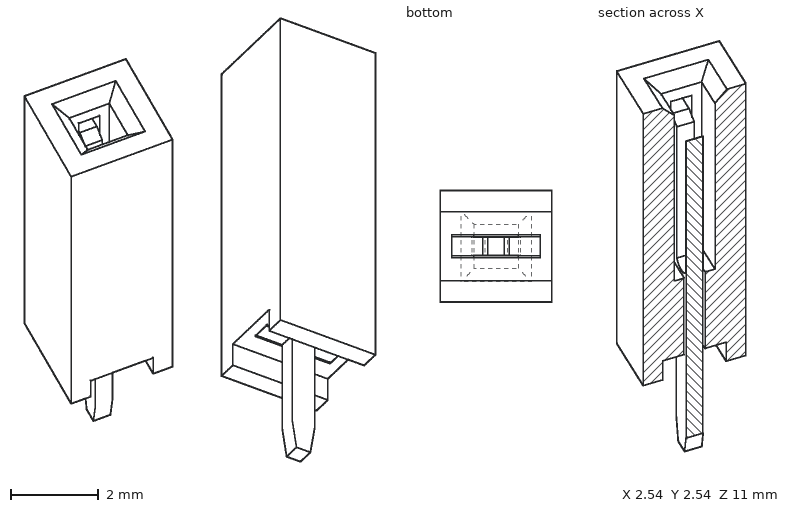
import cadquery as cq

total_height = 11.01
housing_height = 8.5
housing_width = 2.54
housing_bottom = total_height - housing_height

channel_width = 1.56
channel_height = 0.6
channel_roof = housing_bottom + channel_height

mouth_width = 1.6
socket_width = 1.0
mouth_depth = 0.33
socket_depth = 5.5

contact_thickness = 0.43
slot_clearance = 0.04
slot_thickness = contact_thickness + 2 * slot_clearance
slot_drop = 0.33
slot_top = total_height - mouth_depth - slot_drop
fork_width = 2.0
fork_drop = 0.44
fork_top = slot_top - fork_drop
fork_bottom = channel_roof
fork_gap = 0.52
gap_half_width = fork_gap / 2
gap_bottom = total_height - socket_depth
gap_arc_height = 0.15
gap_arc_end = gap_bottom + gap_arc_height
lead_in_height = 0.15
lead_in_margin = 0.05
lead_in_half_width = socket_width / 2 + lead_in_margin

tail_width = 0.61
tip_width = 0.37
tip_height = 0.73


def centred_box(size_x, size_y, bottom, top):
    """Upright box centred on the Z axis."""
    return (
        cq.Workplane("XY")
        .workplane(offset=bottom)
        .rect(size_x, size_y)
        .extrude(top - bottom)
    )


def tapered_mouth():
    """Funnel that narrows from the top face to the square socket."""
    return (
        cq.Workplane("XY")
        .workplane(offset=total_height - mouth_depth)
        .rect(socket_width, socket_width)
        .workplane(offset=mouth_depth)
        .rect(mouth_width, mouth_width)
        .loft(combine=True)
    )


def make_housing():
    """Square block with a socket, a slot for the contact and an underside channel."""
    block = centred_box(housing_width, housing_width, housing_bottom, total_height)
    channel = centred_box(housing_width, channel_width, housing_bottom, channel_roof)
    socket = centred_box(socket_width, socket_width, total_height - socket_depth, total_height)
    slot = centred_box(fork_width, slot_thickness, channel_roof, slot_top)
    return block.cut(channel).cut(socket).cut(tapered_mouth()).cut(slot)


def make_contact():
    """Flat two-armed fork with a arc-bottomed gap and a tapered solder tail."""
    fork_half = fork_width / 2
    tail_half = tail_width / 2
    tip_half = tip_width / 2
    profile = (
        cq.Workplane("XZ")
        .moveTo(-tip_half, 0)
        .lineTo(tip_half, 0)
        .lineTo(tail_half, tip_height)
        .lineTo(tail_half, fork_bottom)
        .lineTo(fork_half, fork_bottom)
        .lineTo(fork_half, fork_top)
        .lineTo(lead_in_half_width, fork_top)
        .lineTo(gap_half_width, fork_top - lead_in_height)
        .lineTo(gap_half_width, gap_arc_end)
        .threePointArc((0, gap_bottom), (-gap_half_width, gap_arc_end))
        .lineTo(-gap_half_width, fork_top - lead_in_height)
        .lineTo(-lead_in_half_width, fork_top)
        .lineTo(-fork_half, fork_top)
        .lineTo(-fork_half, fork_bottom)
        .lineTo(-tail_half, fork_bottom)
        .lineTo(-tail_half, tip_height)
        .close()
    )
    return profile.extrude(contact_thickness / 2, both=True)


housing = make_housing()
contact = make_contact()
result = cq.Compound.makeCompound([housing.val(), contact.val()])